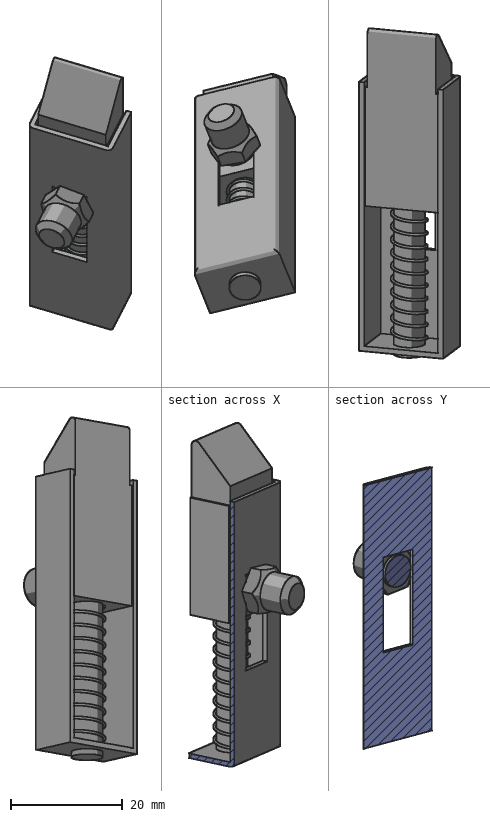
import cadquery as cq
import math


housing_width = 16.0
housing_depth = 10.0
housing_height = 50.05
wall = 1.0
bend_radius = 1.0
slot_width = 6.6
slot_bottom = 17.4
slot_top = 35.4

head_width = 13.0
body_width = 13.8
bolt_depth = 8.5
bolt_clearance = 0.25
bolt_front = wall + bolt_clearance
bolt_back = bolt_front + bolt_depth
bolt_bottom = 27.0
nose_height = 9.8
bolt_top = housing_height + nose_height
shoulder_drop = 1.0
tip_radius = 1.0
rod_diameter = 5.65
rod_protrusion = 1.0
rod_y = (bolt_front + bolt_back) / 2

knob_length = 8.75
knob_diameter = 7.05
knob_chamfer = 1.1
collar_sides = 6
collar_flats = 8.0
collar_height = 3.3
collar_turn = -6.7
shank_diameter = 6.0
shank_depth = 4.0
knob_z = slot_top - slot_width / 2

wire_diameter = 0.5
rod_clearance = 0.03
coil_radius = rod_diameter / 2 + rod_clearance + wire_diameter / 2
coil_pitch = 2.45
seat_clearance = 0.03
spring_start_angle = -40


def make_housing():
    """Channel with a floor, open at the top and the back, slotted at the front."""
    shell = (
        cq.Workplane("XY")
        .box(housing_width, housing_depth, housing_height, centered=(True, False, False))
        .faces("<Y").edges("|Z or <Z").fillet(bend_radius)
    )
    cavity = (
        cq.Workplane("XY", origin=(0, wall, wall))
        .box(housing_width - 2 * wall, housing_depth, housing_height, centered=(True, False, False))
    )
    slot = (
        cq.Workplane("XY", origin=(0, 0, slot_bottom))
        .box(slot_width, wall, slot_top - slot_bottom, centered=(True, False, False))
    )
    rod_hole = cq.Workplane("XY", origin=(0, rod_y, 0)).circle(rod_diameter / 2).extrude(wall)
    return shell.cut(cavity).cut(slot).cut(rod_hole)


def make_shank():
    """Knob shank, which passes through the slot into the bolt."""
    return (
        cq.Workplane("XZ", origin=(0, 0, knob_z))
        .circle(shank_diameter / 2)
        .extrude(-(bolt_front + shank_depth))
    )


def make_bolt():
    """Bolt with a 45 degree nose, wider below its shoulders, with a guide rod underneath."""
    sharp_tip = bolt_top + math.sqrt(2) * tip_radius
    head = (
        cq.Workplane("YZ")
        .moveTo(bolt_front, bolt_bottom)
        .lineTo(bolt_back, bolt_bottom)
        .lineTo(bolt_back, sharp_tip)
        .lineTo(bolt_front, sharp_tip - bolt_depth)
        .close()
        .extrude(head_width / 2, both=True)
        .edges("|X and >Z").fillet(tip_radius)
    )
    body = (
        cq.Workplane("XY", origin=(0, bolt_front, bolt_bottom))
        .box(body_width, bolt_depth, housing_height - shoulder_drop - bolt_bottom,
             centered=(True, False, False))
    )
    rod = (
        cq.Workplane("XY", origin=(0, rod_y, -rod_protrusion))
        .circle(rod_diameter / 2)
        .extrude(bolt_bottom + rod_protrusion)
    )
    return head.union(body).union(rod).cut(make_shank())


def make_knob():
    """Round knob with a hexagonal collar coned down to it, and a shank behind."""
    knob_radius = knob_diameter / 2
    corner_radius = collar_flats / 2 / math.cos(math.pi / collar_sides)
    collar = (
        cq.Workplane("XZ", origin=(0, 0, knob_z))
        .transformed(rotate=(0, 0, collar_turn))
        .polygon(collar_sides, 2 * corner_radius)
        .extrude(collar_height)
    )
    cone_height = corner_radius - knob_radius
    collar_cone = (
        cq.Workplane("XZ", origin=(0, 0, knob_z))
        .circle(corner_radius)
        .extrude(collar_height)
        .faces("<Y").chamfer(cone_height)
    )
    grip = (
        cq.Workplane("XZ", origin=(0, 0, knob_z))
        .circle(knob_radius)
        .extrude(knob_length)
        .faces("<Y").chamfer(knob_chamfer)
    )
    return collar.intersect(collar_cone).union(grip).union(make_shank())


def make_spring():
    """Left-handed coil around the rod, between the floor and the bolt."""
    seat_gap = wire_diameter / 2 + seat_clearance
    coil_bottom = wall + seat_gap
    coil_height = bolt_bottom - seat_gap - coil_bottom
    path = cq.Wire.makeHelix(coil_pitch, coil_height, coil_radius, lefthand=True)
    coil = (
        cq.Workplane("XZ", origin=(coil_radius, 0, 0))
        .circle(wire_diameter / 2)
        .sweep(cq.Workplane(path), isFrenet=True)
    )
    return coil.rotate((0, 0, 0), (0, 0, 1), spring_start_angle).translate((0, rod_y, coil_bottom))


housing = make_housing()
bolt = make_bolt()
knob = make_knob()
spring = make_spring()

result = cq.Compound.makeCompound([housing.val(), bolt.val(), knob.val(), spring.val()])